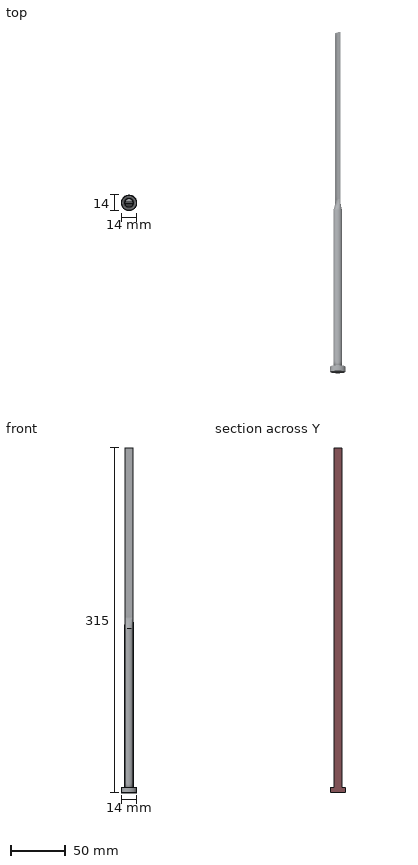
import cadquery as cq

total_length = 315.0
head_diameter = 14.0
head_height = 5.0
shaft_diameter = 8.0
blade_width = 7.5
blade_thickness = 1.2
blade_length = 155.0
transition_length = 10.0

blade_base_z = total_length - blade_length
shaft_top_z = blade_base_z - transition_length


def make_head():
    return cq.Workplane("XY").circle(head_diameter / 2).extrude(head_height)


def make_shaft():
    shaft_length = shaft_top_z - head_height
    return (
        cq.Workplane("XY", origin=(0, 0, head_height))
        .circle(shaft_diameter / 2)
        .extrude(shaft_length)
    )


def make_transition():
    """Blend from the round shaft to the rectangular blade section."""
    return (
        cq.Workplane("XY", origin=(0, 0, shaft_top_z))
        .circle(shaft_diameter / 2)
        .workplane(offset=transition_length)
        .rect(blade_width, blade_thickness)
        .loft(ruled=True)
    )


def make_blade():
    return (
        cq.Workplane("XY", origin=(0, 0, blade_base_z))
        .rect(blade_width, blade_thickness)
        .extrude(blade_length)
    )


result = make_head().union(make_shaft()).union(make_transition()).union(make_blade())